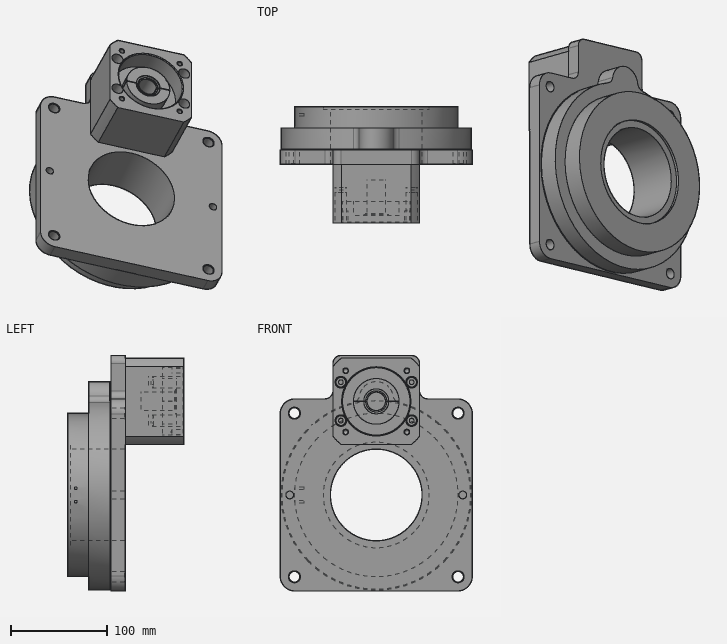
import cadquery as cq
import math


plate_width = 200.0
plate_thickness = 15.0
plate_corner_radius = 15.7
overall_height = 245
tower_width = 90.2
tower_radius = 8.3

mount_hole_spacing = 170.0
mount_hole_diameter = 11.0
mount_hole_chamfer = 0.7
dowel_hole_spacing = 179.8
dowel_hole_diameter = 8.0

spacer_diameter = 196
spacer_thickness = 1.0
flange_diameter = 198.0
flange_thickness = 22
rotor_diameter = 170.0
rotor_thickness = 22
rotor_recess_diameter = 110.0
rotor_recess_depth = 3.0
main_bore_diameter = 95.0
lobe_radius = 18.0
lobe_top = 117.8
lobe_fillet = 8.0
port_diameter = 3.0
port_spacing = 14.0
port_depth = 9.8
port_back_offset = 8.5

block_width = 90.0
block_length = 61.0
block_corner_diameter = 115.6
motor_axis_z = 97.3
pilot_diameter = 70.0
pilot_chamfer = 1.0
pilot_depth = 22.5

hub_diameter = 47.5
hub_recess = 7.8
hub_mouth_diameter = 26.0
hub_mouth_depth = 1.0
hub_step_diameter = 22
hub_step_depth = 2.0
hub_bore_diameter = 19.0
hub_bore_depth = 36.8
hub_slit_width = 0.7

screw_spacing_x = 73.5
screw_spacing_z = 40.0
screw_well_diameter = 12.0
screw_well_depth = 36.8
screw_head_diameter = 10.0
screw_head_height = 5
socket_diameter = 5
socket_depth = 2.5
tapped_hole_spacing = 63.7
tapped_hole_diameter = 5
tapped_hole_chamfer = 0.5
tapped_hole_depth = 12.2
drill_tip_angle = 118

y_direction = cq.Vector(0, 1, 0)
plate_half = plate_width / 2
tower_top = overall_height - plate_half
spacer_back = plate_thickness + spacer_thickness
flange_back = spacer_back + flange_thickness
rotor_back = flange_back + rotor_thickness
block_front = -block_length
hub_front = block_front + hub_recess
pilot_floor = block_front + pilot_depth
recess_floor = rotor_back - rotor_recess_depth


def cylinder(diameter, y_start, y_end, x=0, z=0):
    """Cylinder along Y between two Y positions."""
    start = cq.Vector(x, y_start, z)
    return cq.Workplane(cq.Solid.makeCylinder(diameter / 2, y_end - y_start, start, y_direction))


def cone(start_diameter, end_diameter, y_start, y_end, x=0, z=0):
    """Cone along Y between two Y positions."""
    start = cq.Vector(x, y_start, z)
    solid = cq.Solid.makeCone(start_diameter / 2, end_diameter / 2, y_end - y_start, start, y_direction)
    return cq.Workplane(solid)


def box(x_size, z_size, y_start, y_end, x=0, z=0):
    """Block centred on (x, z) between two Y positions."""
    length = y_end - y_start
    return cq.Workplane("XY").box(x_size, length, z_size).translate((x, y_start + length / 2, z))


def corners(x_spacing, z_spacing, z_centre=0):
    """Four corner positions of a rectangle."""
    return [
        (x_side * x_spacing / 2, z_centre + z_side * z_spacing / 2)
        for x_side in (-1, 1)
        for z_side in (-1, 1)
    ]


def make_plate():
    """Square plate with a tower on top, rounded where the two meet."""
    plate = box(plate_width, plate_width, 0, plate_thickness)
    plate = plate.edges("|Y").fillet(plate_corner_radius)
    tower = box(tower_width, tower_top, 0, plate_thickness, z=tower_top / 2)
    tower = tower.edges("|Y and >Z").fillet(tower_radius)
    plate = plate.union(tower)
    shoulders = cq.selectors.BoxSelector(
        (-tower_width, 0, plate_half - tower_radius),
        (tower_width, plate_thickness, plate_half + tower_radius),
    )
    plate = plate.edges("|Y").edges(shoulders).fillet(tower_radius)
    mouth_diameter = mount_hole_diameter + 2 * mount_hole_chamfer
    for x, z in corners(mount_hole_spacing, mount_hole_spacing):
        plate = plate.cut(cylinder(mount_hole_diameter, 0, plate_thickness, x, z))
        plate = plate.cut(cone(mouth_diameter, mount_hole_diameter, 0, mount_hole_chamfer, x, z))
    for side in (-1, 1):
        dowel_x = side * dowel_hole_spacing / 2
        plate = plate.cut(cylinder(dowel_hole_diameter, 0, plate_thickness, dowel_x))
    return plate


def make_flange():
    """Round flange with a rounded lobe on top, blended in by two concave fillets."""
    flange_radius = flange_diameter / 2
    lobe_z = lobe_top - lobe_radius
    to_flange = flange_radius + lobe_fillet
    to_lobe = lobe_radius + lobe_fillet
    fillet_z = (to_flange**2 - to_lobe**2 + lobe_z**2) / (2 * lobe_z)
    fillet_x = math.sqrt(to_flange**2 - fillet_z**2)
    flange_x = fillet_x * flange_radius / to_flange
    flange_z = fillet_z * flange_radius / to_flange
    lobe_share = lobe_radius / to_lobe
    lobe_side_x = fillet_x * lobe_share
    lobe_side_z = lobe_z + (fillet_z - lobe_z) * lobe_share
    chord_x = (flange_x + lobe_side_x) / 2 - fillet_x
    chord_z = (flange_z + lobe_side_z) / 2 - fillet_z
    chord_distance = math.hypot(chord_x, chord_z)
    middle_x = fillet_x + chord_x * lobe_fillet / chord_distance
    middle_z = fillet_z + chord_z * lobe_fillet / chord_distance
    return (
        cq.Workplane("XZ", origin=(0, flange_back, 0))
        .moveTo(flange_x, flange_z)
        .threePointArc((middle_x, middle_z), (lobe_side_x, lobe_side_z))
        .threePointArc((0, lobe_top), (-lobe_side_x, lobe_side_z))
        .threePointArc((-middle_x, middle_z), (-flange_x, flange_z))
        .threePointArc((0, -flange_radius), (flange_x, flange_z))
        .close()
        .extrude(flange_thickness)
    )


def make_rotor():
    """Rear disc with two small radial ports on its -X side."""
    rotor = cylinder(rotor_diameter, flange_back, rotor_back)
    rotor_radius = rotor_diameter / 2
    for side in (-1, 1):
        port = cq.Solid.makeCylinder(
            port_diameter / 2,
            port_depth,
            cq.Vector(-rotor_radius, rotor_back - port_back_offset, side * port_spacing / 2),
            cq.Vector(1, 0, 0),
        )
        rotor = rotor.cut(cq.Workplane(port))
    return rotor


def cut_screw_well(block, x, z):
    """Deep round well with a socket-head screw at its bottom."""
    well_bottom = block_front + screw_well_depth
    head_front = well_bottom - screw_head_height
    block = block.cut(cylinder(screw_well_diameter, block_front, well_bottom, x, z))
    block = block.union(cylinder(screw_head_diameter, head_front, well_bottom, x, z))
    return block.cut(cylinder(socket_diameter, head_front, head_front + socket_depth, x, z))


def cut_tapped_hole(block, x, z):
    """Blind hole with a chamfered mouth and a conical drill tip."""
    hole_bottom = block_front + tapped_hole_depth
    tip_length = tapped_hole_diameter / 2 / math.tan(math.radians(drill_tip_angle / 2))
    mouth_diameter = tapped_hole_diameter + 2 * tapped_hole_chamfer
    mouth_end = block_front + tapped_hole_chamfer
    block = block.cut(cylinder(tapped_hole_diameter, block_front, hole_bottom, x, z))
    block = block.cut(cone(tapped_hole_diameter, 0, hole_bottom, hole_bottom + tip_length, x, z))
    return block.cut(cone(mouth_diameter, tapped_hole_diameter, block_front, mouth_end, x, z))


def add_hub(block):
    """Slit clamping hub standing on the pilot floor, with a stepped blind bore into the block."""
    hub = cylinder(hub_diameter, hub_front, pilot_floor, z=motor_axis_z)
    slit = box(hub_diameter, hub_slit_width, hub_front, pilot_floor, z=motor_axis_z)
    block = block.union(hub.cut(slit))
    hub_bore_steps = (
        (hub_mouth_diameter, hub_mouth_depth),
        (hub_step_diameter, hub_step_depth),
        (hub_bore_diameter, hub_bore_depth),
    )
    for diameter, depth in hub_bore_steps:
        block = block.cut(cylinder(diameter, hub_front, hub_front + depth, z=motor_axis_z))
    return block


def make_block():
    """Adapter block with the motor pilot bore, the hub and the screw holes."""
    block = box(block_width, block_width, block_front, 0, z=motor_axis_z)
    block = block.intersect(cylinder(block_corner_diameter, block_front, 0, z=motor_axis_z))
    pilot_mouth = pilot_diameter + 2 * pilot_chamfer
    mouth_end = block_front + pilot_chamfer
    block = block.cut(cylinder(pilot_diameter, block_front, pilot_floor, z=motor_axis_z))
    block = block.cut(cone(pilot_mouth, pilot_diameter, block_front, mouth_end, z=motor_axis_z))
    for x, z in corners(screw_spacing_x, screw_spacing_z, motor_axis_z):
        block = cut_screw_well(block, x, z)
    for x, z in corners(tapped_hole_spacing, tapped_hole_spacing, motor_axis_z):
        block = cut_tapped_hole(block, x, z)
    return add_hub(block)


spacer = cylinder(spacer_diameter, plate_thickness, spacer_back)
housing = make_plate().union(spacer).union(make_flange()).union(make_rotor())
housing = housing.cut(cylinder(main_bore_diameter, 0, rotor_back))
housing = housing.cut(cylinder(rotor_recess_diameter, recess_floor, rotor_back))
result = housing.union(make_block())